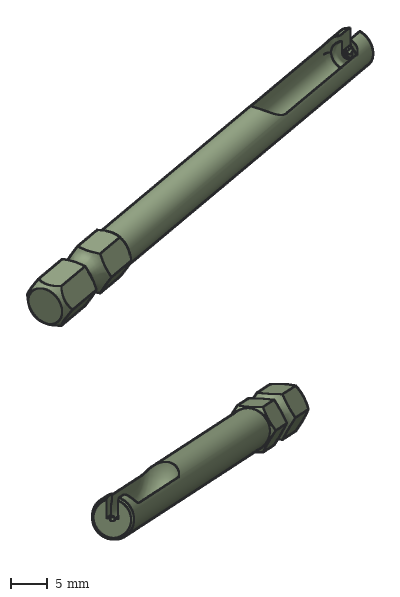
import cadquery as cq
import math

length = 80.0
shaft_radius = 3.0
tip_chamfer = 0.3

hex_flats = 6.3
hex_corner_radius = hex_flats / math.sqrt(3)
hex_length = 17.0
drive_face_radius = 2.7
drive_chamfer_length = 1.2

detent_y = 9.3
detent_neck_radius = 2.2
detent_arc_radius = 2.0

bore_radius = 2.6
bore_tip_y = length - 2.6
bore_tip_fillet = 1.5
opening_tip_y = length - 3.0
opening_corner_radius = 1.0

runout_start_y = length - 19.4
runout_radius = 5.6

slot_width = 1.7
slot_floor_z = 0.0
tip_groove_width = 0.7
tip_ledge_length = 1.8
slot_mouth_fillet = 0.4

tip_bore_radius = 2.1
tip_bore_end_y = length - 2.2
tip_bore_fillet = 0.4


def rod(radius, start_y, end_y, axis_z=0.0):
    """Round rod along Y."""
    plane = cq.Workplane("XZ", origin=(0, start_y, axis_z))
    return plane.circle(radius).extrude(start_y - end_y)


def block(width, start_y, end_y, bottom_z, top_z):
    """Box centred on X between the given Y and Z limits."""
    size = (width, end_y - start_y, top_z - bottom_z)
    return cq.Workplane("XY", origin=(0, start_y, bottom_z)).box(*size, centered=(True, False, False))


def make_drive():
    """Hexagon trimmed by cones at both ends and by the detent groove."""
    hexagon = cq.Workplane("XZ").polygon(6, 2 * hex_corner_radius).extrude(-hex_length)
    shoulder_chamfer = hex_corner_radius - shaft_radius
    envelope = (
        cq.Workplane("XY")
        .moveTo(0, 0)
        .lineTo(drive_face_radius, 0)
        .lineTo(hex_corner_radius, drive_chamfer_length)
        .lineTo(hex_corner_radius, hex_length - shoulder_chamfer)
        .lineTo(shaft_radius, hex_length)
        .lineTo(0, hex_length)
        .close()
        .revolve(360, (0, 0, 0), (0, 1, 0))
    )
    arc_center_x = detent_neck_radius + detent_arc_radius
    detent = (
        cq.Workplane("XY")
        .center(arc_center_x, detent_y)
        .circle(detent_arc_radius)
        .revolve(360, (-arc_center_x, 0, 0), (-arc_center_x, 1, 0))
    )
    return hexagon.intersect(envelope).cut(detent)


def make_shaft():
    return rod(shaft_radius, hex_length, length).faces(">Y").chamfer(tip_chamfer)


def make_bore():
    """Round bore along the shaft, necking down to the smaller tip bore."""
    main = rod(bore_radius, runout_start_y, bore_tip_y)
    main = main.faces(">Y").edges().fillet(bore_tip_fillet)
    tip = rod(tip_bore_radius, runout_start_y, tip_bore_end_y)
    tip = tip.faces(">Y").edges().fillet(tip_bore_fillet)
    return main.union(tip)


def make_opening():
    """Straight-sided opening that exposes the bore from above."""
    opening = block(2 * bore_radius, runout_start_y, opening_tip_y, 0, shaft_radius)
    return opening.faces(">Y").edges("|Z").fillet(opening_corner_radius)


def make_runout():
    """End of the trough: its U-shaped section swept upward about a cross axis."""
    axis_z = runout_radius - bore_radius
    section = (
        cq.Workplane("XZ", origin=(0, runout_start_y, axis_z))
        .moveTo(-bore_radius, 0)
        .lineTo(-bore_radius, -axis_z)
        .threePointArc((0, -runout_radius), (bore_radius, -axis_z))
        .lineTo(bore_radius, 0)
        .close()
    )
    return section.revolve(180, (0.8, 0, 0), (-0.8, 0, 0))


def make_tip_slot():
    """Slot with a narrow grooved floor at the tip and a full-width round floor behind it."""
    slot = block(slot_width, opening_tip_y, length, slot_floor_z, shaft_radius)
    groove = rod(tip_groove_width / 2, length - tip_ledge_length, length, slot_floor_z)
    seat = rod(slot_width / 2, opening_tip_y, length - tip_ledge_length, slot_floor_z)
    return slot.union(groove).union(seat)


def round_slot_mouth(body):
    """Round the two upright edges where the tip slot meets the opening."""
    near = 0.1
    mouth = cq.selectors.BoxSelector(
        (-slot_width / 2 - near, opening_tip_y - near, slot_floor_z),
        (slot_width / 2 + near, opening_tip_y + near, shaft_radius),
    )
    return body.edges(mouth).edges("|Z").fillet(slot_mouth_fillet)


body = make_drive().union(make_shaft())
for cutter in (make_bore(), make_opening(), make_runout(), make_tip_slot()):
    body = body.cut(cutter)
result = round_slot_mouth(body)